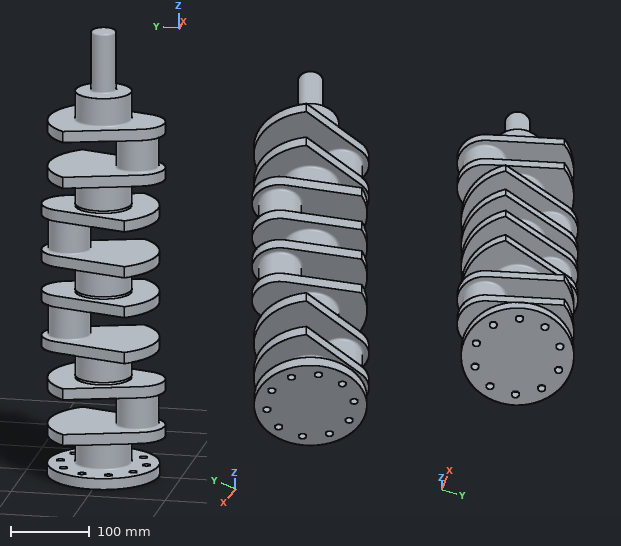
import cadquery as cq
import math

total_length = 589.0
nose_length = 80.0
flange_thickness = 15.0
journal_length = 38.0
pin_length = 46.0
throw_count = 4

flange_diameter = 144.0
journal_diameter = 72.5
nose_diameter = 32.5

pin_diameter = 54.0
pin_offset = 44.0

overall_depth = 159.5
web_reach = overall_depth / 2
counterweight_reach = 71.0
counterweight_width = 126.0
counterweight_corner = 40.0

bolt_count = 10
bolt_circle_diameter = 112.0
bolt_hole_diameter = 9.5
first_bolt_angle = 90

root_fillet = 3.0
nose_round = 3.0

FRONT = -1
BACK = 1

UP = 1
DOWN = -1

nose_bottom = total_length - nose_length
throw_pitch = (nose_bottom - flange_thickness - journal_length) / throw_count
web_thickness = (throw_pitch - journal_length - pin_length) / 2
web_end_radius = web_reach - pin_offset


def cylinder(diameter, bottom, length, y=0.0):
    """Vertical cylinder with its axis at X = 0."""
    return cq.Workplane("XY", origin=(0, y, bottom)).circle(diameter / 2).extrude(length)


def root_ring(diameter, face, direction, y=0.0):
    """Concave fillet, filled to its axis, on a flat face; direction is the way the shaft leaves the face."""
    radius = diameter / 2
    arc_inset = root_fillet * (1 - math.sqrt(0.5))
    return (
        cq.Workplane("XZ", origin=(0, y, face))
        .lineTo(radius + root_fillet, 0)
        .threePointArc((radius + arc_inset, direction * arc_inset), (radius, direction * root_fillet))
        .lineTo(0, direction * root_fillet)
        .close()
        .revolve(360, (0, 0), (0, 1))
    )


def shaft(diameter, bottom, length, y=0.0):
    """Shaft between two flat faces, filleted at both ends."""
    return (
        cylinder(diameter, bottom, length, y)
        .union(root_ring(diameter, bottom, UP, y))
        .union(root_ring(diameter, bottom + length, DOWN, y))
    )


def web(bottom, side):
    """Flat web whose straight flanks are tangent to the round end about the pin."""
    corner_x = counterweight_width / 2
    corner_y = -counterweight_corner
    drop = pin_offset - corner_y
    corner_distance = math.hypot(corner_x, drop)
    tangent_angle = math.acos(web_end_radius / corner_distance) - math.atan2(drop, corner_x)
    tangent_x = web_end_radius * math.cos(tangent_angle)
    tangent_y = pin_offset + web_end_radius * math.sin(tangent_angle)
    return (
        cq.Workplane("XY", origin=(0, 0, bottom))
        .moveTo(corner_x, side * corner_y)
        .lineTo(tangent_x, side * tangent_y)
        .threePointArc((0, side * web_reach), (-tangent_x, side * tangent_y))
        .lineTo(-corner_x, side * corner_y)
        .threePointArc((0, -side * counterweight_reach), (corner_x, side * corner_y))
        .close()
        .extrude(web_thickness)
    )


def journal_bottom(index):
    """Height of the lower end of a journal, counted from the flange."""
    return flange_thickness + index * throw_pitch


def throw(index, side):
    """Two webs with a crank pin between them, standing above the journal of the same index."""
    lower_web_bottom = journal_bottom(index) + journal_length
    pin_bottom = lower_web_bottom + web_thickness
    return (
        web(lower_web_bottom, side)
        .union(shaft(pin_diameter, pin_bottom, pin_length, side * pin_offset))
        .union(web(pin_bottom + pin_length, side))
    )


def seated_journal(index):
    """Journal filleted to the web above it, with a plain lower end that sits in a collar."""
    bottom = journal_bottom(index)
    return cylinder(journal_diameter, bottom, journal_length).union(
        root_ring(journal_diameter, bottom + journal_length, DOWN)
    )


def collar(index):
    """Fillet-shaped ring on top of a web, around the seat of the journal above."""
    bottom = journal_bottom(index)
    seat = cylinder(journal_diameter, bottom, root_fillet)
    return root_ring(journal_diameter, bottom, UP).cut(seat)


def flange():
    """Round flange with a circle of through holes."""
    holes = (
        cq.Workplane("XY")
        .polarArray(bolt_circle_diameter / 2, first_bolt_angle, 360, bolt_count)
        .circle(bolt_hole_diameter / 2)
        .extrude(flange_thickness)
    )
    return cylinder(flange_diameter, 0, flange_thickness).cut(holes)


def nose():
    """Slim shaft end, rounded at the tip and filleted at its root."""
    tip_rounded = cylinder(nose_diameter, nose_bottom, nose_length).faces(">Z").edges().fillet(nose_round)
    return tip_rounded.union(root_ring(nose_diameter, nose_bottom, UP))


def make_flange_section():
    """Lowest body: flange, first journal, first throw and a collar for the next journal."""
    return (
        flange()
        .union(shaft(journal_diameter, journal_bottom(0), journal_length))
        .union(throw(0, FRONT))
        .union(collar(1))
    )


def make_middle_section(index):
    """Middle body: seated journal, throw and a collar for the next journal."""
    return seated_journal(index).union(throw(index, BACK)).union(collar(index + 1))


def make_nose_section():
    """Highest body: seated journal, last throw, top journal and nose."""
    last = throw_count - 1
    top_bottom = journal_bottom(throw_count)
    top_journal = cylinder(journal_diameter, top_bottom, journal_length).union(
        root_ring(journal_diameter, top_bottom, UP)
    )
    return seated_journal(last).union(throw(last, FRONT)).union(top_journal).union(nose())


flange_section = make_flange_section()
middle_sections = [make_middle_section(index) for index in range(1, throw_count - 1)]
nose_section = make_nose_section()

result = cq.Compound.makeCompound([
    flange_section.val(),
    *[section.val() for section in middle_sections],
    nose_section.val(),
])